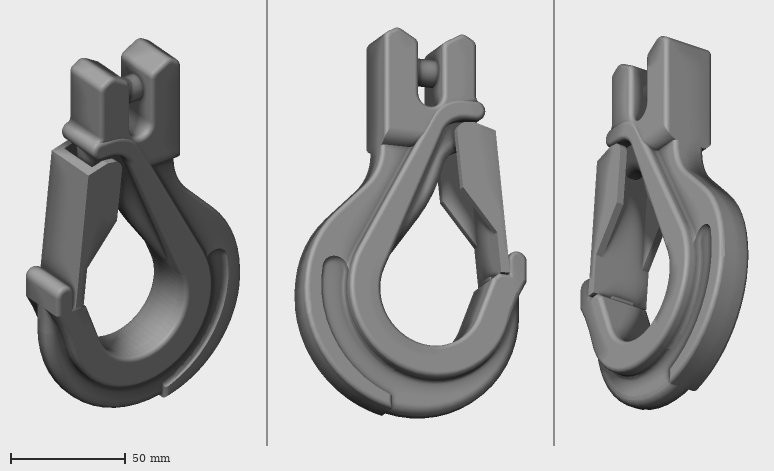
import cadquery as cq
import math


LATCH_WIDTH = 28.0
BAND_WIDTH = 25.9
CLEVIS_WIDTH = 25.0
RIM_WIDTH = 15.5
WEB_WIDTH = 11.1

EDGE_ROUND = 2.0
WEB_ROUND = 4.2
POCKET_ROUND = 2.0
ROOT_FILLET = 1.5

TOP_Z = 86.9
BACK_RADIUS = 51.3
BACK_CENTER = (0.0, BACK_RADIUS - TOP_Z)
NECK_ANGLE = 45.0
NECK_RADIUS = 25.2
NECK_REACH = 52.0
NECK_BLEND_ANGLE = 8.0

BOWL_CENTER = (-6.0, -33.0)
BOWL_RADIUS = 23.6
BAND_RADIUS = 38.0
BAND_MIDDLE_RADIUS = (BOWL_RADIUS + BAND_RADIUS) / 2
SHANK_INNER_ANGLE = 23.0
SHANK_OUTER_ANGLE = 28.2
BOWL_END_ANGLE = 202.0
BAND_END_ANGLE = 195.0

NOSE_CENTER = (-27.5, 52.6)
NOSE_RADIUS = 4.3
SHANK_INNER_BEND = 12.2
SHANK_OUTER_BEND = 16.5

LIP_RADIUS = 4.5
LIP_CENTER = (LIP_RADIUS - BACK_RADIUS, -14.0)
LIP_BASE_Z = -23.0
SEAT_Z = -20.5
SEAT_START = (-35.1, -23.1)
SEAT_CORNER_Y = -38.2
TIP_OUTER_MID = (-45.9, -33.9)

FORK_CENTER_Y = BOWL_CENTER[0]
FORK_HALF_WIDTH = 21.5
SLOT_WIDTH = 11.3
SLOT_CENTER_Z = 58.0
PRONG_PEAK_OFFSET = 15.3
PRONG_SLOPE = 30.0
PRONG_ROUND = 3.5
FLARE_TOP_Z = 59.0
FLARE_END_ANGLE = 115.0
STEP_TOP_Z = 40.7
STEP_BOTTOM_Z = 33.9
PIN_DIAMETER = 12.2
PIN_Z = 70.7

POCKET_RADIUS = 50.0
POCKET_CAP_ANGLE = 10.0
RIM_END_Y = 10.0

BOWL_WEB_TOP_Z = -20.9
BOWL_WEB_HOLE_RADIUS = 32.1
THROAT_START = (12.7, -19.1)
THROAT_BEND = (-3.8, 3.6)
THROAT_LATCH_END = (-15.5, 28.5)
THROAT_TIP = (-29.2, 36.5)
THROAT_NOSE_Y = -30.5

LATCH_WALL = 3.5
LATCH_PLATE = 4.2
LATCH_TOP = (-35.6, 43.8)
LATCH_TOE = (-42.4, SEAT_Z)
LATCH_FLARE_Z = -2.6
LATCH_BELLY = (-20.3, 16.3)
LATCH_BACK_TOP = (-17.5, 41.5)
LATCH_CORNER_MID = (-18.5, 44.1)
LATCH_CORNER_END = (-20.9, 46.0)
LATCH_SIDE_TOP = (-25.5, 46.5)


def polar(center, radius, angle):
    """Point on a circle, with the angle in degrees counted from +Y toward +Z."""
    turn = math.radians(angle)
    return center[0] + radius * math.cos(turn), center[1] + radius * math.sin(turn)


def tangent_at_height(center, radius, angle, height):
    """Point at a given Z on the line that touches a circle at the given angle."""
    start = polar(center, radius, angle)
    rise = height - start[1]
    return start[0] - rise * math.tan(math.radians(angle)), height


def tangent_at_side(center, radius, angle, side):
    """Point at a given Y on the line that touches a circle at the given angle."""
    start = polar(center, radius, angle)
    run = start[0] - side
    return side, start[1] + run / math.tan(math.radians(angle))


def unit_vector(start, end):
    length = math.dist(start, end)
    return (end[0] - start[0]) / length, (end[1] - start[1]) / length


def corner_arc(before, corner, after, radius):
    """Start, middle and end of the arc that rounds a corner."""
    back = unit_vector(corner, before)
    ahead = unit_vector(corner, after)
    half = math.acos(back[0] * ahead[0] + back[1] * ahead[1]) / 2
    reach = radius / math.tan(half)
    bisector = unit_vector((0, 0), (back[0] + ahead[0], back[1] + ahead[1]))
    depth = radius / math.sin(half) - radius
    start = (corner[0] + reach * back[0], corner[1] + reach * back[1])
    middle = (corner[0] + depth * bisector[0], corner[1] + depth * bisector[1])
    end = (corner[0] + reach * ahead[0], corner[1] + reach * ahead[1])
    return start, middle, end


def add_corner(outline, before, corner, after, radius):
    """Draw a line up to a corner and around its rounding."""
    start, middle, end = corner_arc(before, corner, after, radius)
    return outline.lineTo(*start).threePointArc(middle, end)


def draw_from(point):
    return cq.Workplane("YZ").moveTo(*point)


def slab(outline, width):
    return outline.close().extrude(width / 2, both=True)


def round_sides(body, radius):
    """Round all edges of the two flat side faces."""
    return body.faces("<X or >X").edges().fillet(radius)


def make_band():
    nose_top = (NOSE_CENTER[0], NOSE_CENTER[1] + NOSE_RADIUS)
    nose_tip = (NOSE_CENTER[0] - NOSE_RADIUS, NOSE_CENTER[1])
    nose_bottom = (NOSE_CENTER[0], NOSE_CENTER[1] - NOSE_RADIUS)
    outer_start = polar(BOWL_CENTER, BAND_RADIUS, SHANK_OUTER_ANGLE)
    outer_corner = tangent_at_height(BOWL_CENTER, BAND_RADIUS, SHANK_OUTER_ANGLE, nose_top[1])
    inner_start = polar(BOWL_CENTER, BOWL_RADIUS, SHANK_INNER_ANGLE)
    inner_corner = tangent_at_height(BOWL_CENTER, BOWL_RADIUS, SHANK_INNER_ANGLE, nose_bottom[1])

    outline = draw_from(SEAT_START).lineTo(SEAT_CORNER_Y, SEAT_Z)
    outline = outline.lineTo(LIP_CENTER[0] + LIP_RADIUS, SEAT_Z)
    outline = outline.lineTo(LIP_CENTER[0] + LIP_RADIUS, LIP_CENTER[1])
    outline = outline.threePointArc(polar(LIP_CENTER, LIP_RADIUS, 90), polar(LIP_CENTER, LIP_RADIUS, 180))
    outline = outline.lineTo(-BACK_RADIUS, LIP_BASE_Z)
    outline = outline.threePointArc(TIP_OUTER_MID, polar(BOWL_CENTER, BAND_RADIUS, BAND_END_ANGLE))
    outline = outline.threePointArc(polar(BOWL_CENTER, BAND_RADIUS, 290), outer_start)
    outline = add_corner(outline, outer_start, outer_corner, nose_top, SHANK_OUTER_BEND)
    outline = outline.lineTo(*nose_top).threePointArc(nose_tip, nose_bottom)
    outline = add_corner(outline, nose_bottom, inner_corner, inner_start, SHANK_INNER_BEND)
    outline = outline.lineTo(*inner_start)
    outline = outline.threePointArc(
        polar(BOWL_CENTER, BOWL_RADIUS, 290), polar(BOWL_CENTER, BOWL_RADIUS, BOWL_END_ANGLE)
    )
    return round_sides(slab(outline, BAND_WIDTH), EDGE_ROUND)


def make_rim():
    """Back of the hook, from the clevis down to the bottom of the bowl."""
    side_y = FORK_CENTER_Y + FORK_HALF_WIDTH
    neck_top = (side_y, STEP_TOP_Z)
    neck_start = polar(BACK_CENTER, NECK_REACH, NECK_ANGLE)
    neck_corner = tangent_at_side(BACK_CENTER, NECK_REACH, NECK_ANGLE, side_y)
    end_drop = math.sqrt(BACK_RADIUS**2 - RIM_END_Y**2)
    rim_end = (RIM_END_Y, BACK_CENTER[1] - end_drop)
    end_offset = RIM_END_Y - BOWL_CENTER[0]
    inner_end = (RIM_END_Y, BOWL_CENTER[1] - math.sqrt(BAND_MIDDLE_RADIUS**2 - end_offset**2))
    inner_start = polar(BOWL_CENTER, BAND_MIDDLE_RADIUS, SHANK_OUTER_ANGLE)
    inner_top = tangent_at_height(BOWL_CENTER, BAND_MIDDLE_RADIUS, SHANK_OUTER_ANGLE, STEP_TOP_Z)

    outline = draw_from(neck_top)
    outline = add_corner(outline, neck_top, neck_corner, neck_start, NECK_RADIUS)
    outline = outline.lineTo(*neck_start)
    outline = outline.tangentArcPoint(polar(BACK_CENTER, BACK_RADIUS, NECK_BLEND_ANGLE), relative=False)
    outline = outline.threePointArc(polar(BACK_CENTER, BACK_RADIUS, -40), rim_end)
    outline = outline.lineTo(*inner_end)
    outline = outline.threePointArc(polar(BOWL_CENTER, BAND_MIDDLE_RADIUS, -10), inner_start)
    outline = outline.lineTo(*inner_top)
    return round_sides(slab(outline, RIM_WIDTH), EDGE_ROUND)


def make_pockets():
    """Crescent pockets in both sides of the rim, along the band, with a round upper end."""
    cap_radius = (POCKET_RADIUS - BAND_RADIUS) / 2
    cap_center = polar(BOWL_CENTER, BAND_RADIUS + cap_radius, POCKET_CAP_ANGLE)
    pocket_end_angle = -90
    pocket_mid_angle = -30
    pocket_outline = draw_from(polar(BOWL_CENTER, POCKET_RADIUS, POCKET_CAP_ANGLE))
    pocket_outline = pocket_outline.threePointArc(
        polar(cap_center, cap_radius, POCKET_CAP_ANGLE + 90), polar(BOWL_CENTER, BAND_RADIUS, POCKET_CAP_ANGLE)
    )
    pocket_outline = pocket_outline.threePointArc(
        polar(BOWL_CENTER, BAND_RADIUS, pocket_mid_angle), polar(BOWL_CENTER, BAND_RADIUS, pocket_end_angle)
    )
    pocket_outline = pocket_outline.lineTo(*polar(BOWL_CENTER, POCKET_RADIUS, pocket_end_angle))
    pocket_outline = pocket_outline.threePointArc(
        polar(BOWL_CENTER, POCKET_RADIUS, pocket_mid_angle), polar(BOWL_CENTER, POCKET_RADIUS, POCKET_CAP_ANGLE)
    )
    pocket = pocket_outline.close().extrude(RIM_WIDTH).faces("<X").edges().fillet(POCKET_ROUND)
    pocket = pocket.translate((WEB_WIDTH / 2, 0, 0))
    return pocket.union(pocket.mirror("YZ"))


def make_bowl_web():
    """Thin web around the outside of the bowl, ending under the lip."""
    disk = cq.Workplane("YZ").center(*BACK_CENTER).circle(BACK_RADIUS).extrude(WEB_WIDTH / 2, both=True)
    disk = round_sides(disk, WEB_ROUND)
    hole = cq.Workplane("YZ").center(*BOWL_CENTER).circle(BOWL_WEB_HOLE_RADIUS)
    hole = hole.extrude(WEB_WIDTH, both=True)
    size = 4 * BACK_RADIUS
    above = cq.Workplane("XY").box(size, size, size).translate((0, 0, BOWL_WEB_TOP_Z + size / 2))
    return disk.cut(hole).cut(above)


def make_tip_web():
    """Straight end of the web, from the level of the back center up into the lip."""
    corner = (-WEB_WIDTH / 2, -BACK_RADIUS, BACK_CENTER[1])
    depth = BACK_RADIUS + TIP_OUTER_MID[0]
    height = BOWL_WEB_TOP_Z - BACK_CENTER[1]
    strip = cq.Workplane("XY").box(WEB_WIDTH, depth, height, centered=False).translate(corner)
    return strip.faces("<Y").edges("|Z").fillet(WEB_ROUND)


def make_throat_web():
    """Thin web on the throat side of the shank, running up inside the latch to the nose."""
    outline = draw_from(THROAT_START).lineTo(*THROAT_BEND)
    outline = outline.tangentArcPoint(THROAT_LATCH_END, relative=False)
    outline = outline.tangentArcPoint(THROAT_TIP, relative=False)
    outline = outline.lineTo(THROAT_NOSE_Y, NOSE_CENTER[1])
    outline = outline.lineTo(-15.6, NOSE_CENTER[1]).lineTo(24.3, -17.4)
    return round_sides(slab(outline, WEB_WIDTH), WEB_ROUND)


def make_clevis():
    left = FORK_CENTER_Y + FORK_HALF_WIDTH
    right = FORK_CENTER_Y - FORK_HALF_WIDTH
    slot_half = SLOT_WIDTH / 2
    slope = math.tan(math.radians(PRONG_SLOPE))
    peak_z = TOP_Z + PRONG_ROUND * (1 / math.cos(math.radians(PRONG_SLOPE)) - 1)
    outer_z = peak_z - (FORK_HALF_WIDTH - PRONG_PEAK_OFFSET) * slope
    inner_z = peak_z - (PRONG_PEAK_OFFSET - slot_half) * slope

    def prong_top(side):
        """Corners from the outside of a prong to its slot side; side is +1 or -1."""
        offsets = ((FORK_HALF_WIDTH, outer_z), (PRONG_PEAK_OFFSET, peak_z), (slot_half, inner_z))
        return [(FORK_CENTER_Y + side * offset, z) for offset, z in offsets]

    def draw_prong(outline, before, corners, after):
        path = [before, *corners, after]
        for previous, corner, following in zip(path, path[1:], path[2:]):
            outline = add_corner(outline, previous, corner, following, PRONG_ROUND)
        return outline.lineTo(*after)

    slot_center = (FORK_CENTER_Y, SLOT_CENTER_Z)
    slot_left = polar(slot_center, slot_half, 0)
    slot_right = polar(slot_center, slot_half, 180)
    foot_left = (left, STEP_BOTTOM_Z)
    foot_right = (right, FLARE_TOP_Z)
    flare_end = polar(NOSE_CENTER, NOSE_RADIUS, FLARE_END_ANGLE)
    outline = draw_from(foot_left)
    outline = draw_prong(outline, foot_left, prong_top(1), slot_left)
    outline = outline.threePointArc(polar(slot_center, slot_half, 270), slot_right)
    outline = draw_prong(outline, slot_right, prong_top(-1)[::-1], foot_right)
    outline = outline.tangentArcPoint(flare_end, relative=False)
    outline = outline.lineTo(-13.9, 51.8).lineTo(-3.5, STEP_BOTTOM_Z)
    clevis = round_sides(slab(outline, CLEVIS_WIDTH), EDGE_ROUND)

    drop = STEP_TOP_Z - STEP_BOTTOM_Z
    inset = (CLEVIS_WIDTH - RIM_WIDTH) / 2
    curve_radius = (drop**2 + inset**2) / (2 * inset)
    half_sweep = math.degrees(math.asin(drop / curve_radius)) / 2
    curve_center = (CLEVIS_WIDTH / 2 - curve_radius, STEP_TOP_Z)
    curve_mid = polar(curve_center, curve_radius, -half_sweep)
    section = (
        cq.Workplane("XZ")
        .moveTo(-CLEVIS_WIDTH / 2, TOP_Z)
        .lineTo(CLEVIS_WIDTH / 2, TOP_Z)
        .lineTo(CLEVIS_WIDTH / 2, STEP_TOP_Z)
        .threePointArc(curve_mid, (RIM_WIDTH / 2, STEP_BOTTOM_Z))
        .lineTo(-RIM_WIDTH / 2, STEP_BOTTOM_Z)
        .threePointArc((-curve_mid[0], curve_mid[1]), (-CLEVIS_WIDTH / 2, STEP_TOP_Z))
        .close()
        .extrude(2 * BACK_RADIUS, both=True)
    )
    pin = (
        cq.Workplane("XZ", origin=(0, FORK_CENTER_Y, PIN_Z))
        .circle(PIN_DIAMETER / 2)
        .extrude(SLOT_WIDTH, both=True)
    )
    return clevis.intersect(section).union(pin)


def make_latch():
    """Sheet channel open toward the shank, with its toe between seat and lip."""
    toe_back = (LATCH_TOE[0] + LATCH_PLATE, SEAT_Z)
    lean = (LATCH_TOP[0] - LATCH_TOE[0]) / (LATCH_TOP[1] - LATCH_TOE[1])
    flare_start = (toe_back[0] + lean * (LATCH_FLARE_Z - SEAT_Z), LATCH_FLARE_Z)
    outline = draw_from(LATCH_TOP).lineTo(*LATCH_TOE).lineTo(*toe_back).lineTo(*flare_start)
    outline = outline.lineTo(*LATCH_BELLY).lineTo(*LATCH_BACK_TOP)
    outline = outline.threePointArc(LATCH_CORNER_MID, LATCH_CORNER_END).lineTo(*LATCH_SIDE_TOP)
    latch = slab(outline, LATCH_WIDTH)

    inside_top = (toe_back[0] + lean * (TOP_Z - SEAT_Z), TOP_Z)
    inside = draw_from(toe_back).lineTo(*inside_top).lineTo(0, TOP_Z).lineTo(0, SEAT_Z)
    return latch.cut(slab(inside, LATCH_WIDTH - 2 * LATCH_WALL))


def fillet_roots(body, width):
    """Fillet the edges where side faces of the given width meet the outer wall of the band."""
    tolerance = 0.02
    normal = polar((0, 0), 1, SHANK_OUTER_ANGLE)

    def is_root(edge):
        middle = edge.positionAt(0.5)
        offset = (middle.y - BOWL_CENTER[0], middle.z - BOWL_CENTER[1])
        shank_distance = offset[0] * normal[0] + offset[1] * normal[1]
        on_ring = abs(math.hypot(*offset) - BAND_RADIUS) < tolerance
        on_shank = abs(shank_distance - BAND_RADIUS) < tolerance
        on_side = abs(abs(edge.Center().x) - width / 2) < tolerance
        return on_side and (on_ring or on_shank)

    roots = [edge for edge in body.edges().vals() if is_root(edge)]
    return body.newObject(roots).fillet(ROOT_FILLET)


band = make_band()
back = fillet_roots(band.union(make_rim()), RIM_WIDTH).cut(make_pockets())
bowl = fillet_roots(band.union(make_bowl_web()), WEB_WIDTH)
result = back
for piece in (bowl, make_tip_web(), make_throat_web(), make_clevis(), make_latch()):
    result = result.union(piece)